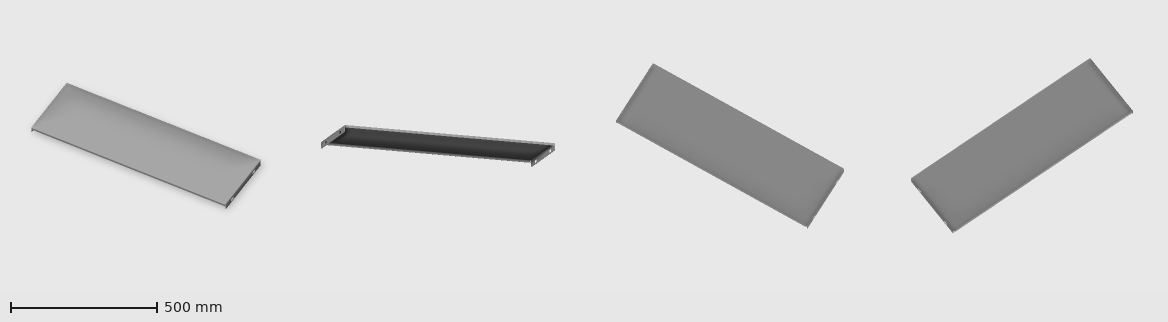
import cadquery as cq

length = 762.0
width = 249.0
end_height = 25.0
side_height = 9.0

thickness = 1.0
bend_radius = 2.0
corner_radius = 4.0

slot_length = 20.0
slot_height = 10.0
slot_spacing = 151.0
slot_above_edge = 10.0


def folded_channel(plane, span, height, depth):
    """Top sheet with both edges folded down; its upper face lies at Z = 0."""
    fold_edges = "|Y" if plane == "XZ" else "|X"

    def block(block_span, top, radius):
        return (
            cq.Workplane(plane)
            .center(0, top - height / 2)
            .rect(block_span, height)
            .extrude(depth / 2, both=True)
            .faces(">Z")
            .edges(fold_edges)
            .fillet(radius)
        )

    outside = block(span, 0, bend_radius)
    inside = block(span - 2 * thickness, -thickness, bend_radius - thickness)
    return outside.cut(inside)


def end_outline():
    """Solid as long as the shelf, shaped like an end flange with rounded lower corners."""
    return (
        cq.Workplane("YZ")
        .center(0, -end_height / 2)
        .rect(end_flange_width, end_height)
        .extrude(length / 2, both=True)
        .faces("<Z")
        .edges("|X")
        .fillet(corner_radius)
    )


def slots():
    """Pair of slots running through both end flanges."""
    return (
        cq.Workplane("YZ")
        .center(0, slot_above_edge - end_height)
        .rarray(slot_spacing, 8, 2, 1)
        .slot2D(slot_length, slot_height)
        .extrude(length / 2, both=True)
    )


end_flange_width = width - 2 * bend_radius
side_flange_length = length - 2 * bend_radius

ends = folded_channel("XZ", length, end_height, end_flange_width)
ends = ends.intersect(end_outline()).cut(slots())
sides = folded_channel("YZ", width, side_height, side_flange_length)

result = ends.union(sides)